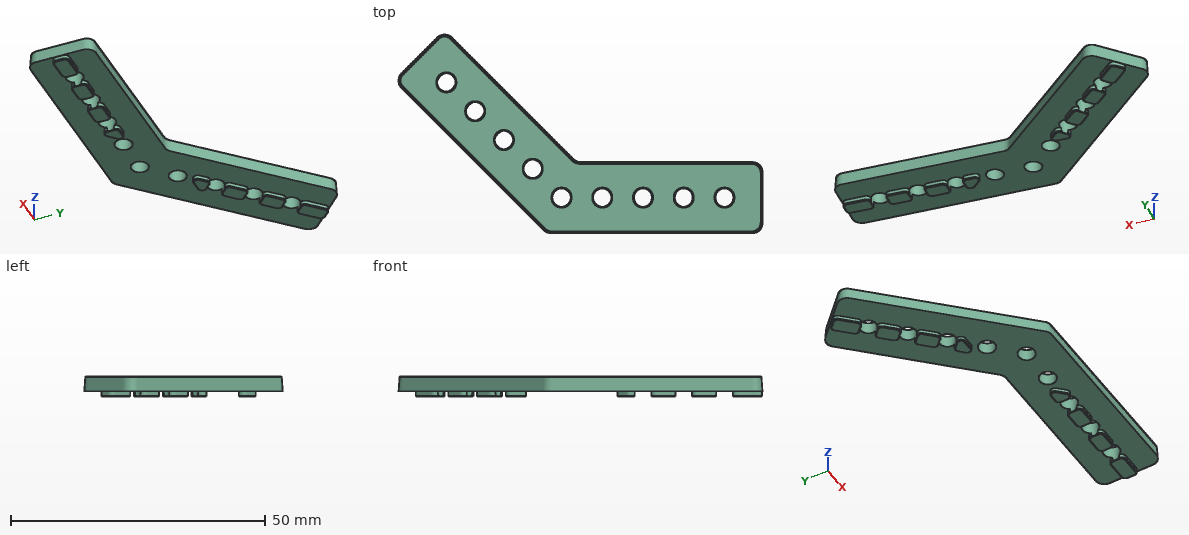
import math

import cadquery as cq

PITCH = 8.0
PITCHES_PER_ARM = 4
ARM_ANGLE = 135.0
PLATE_HALF_WIDTH = 7.0
END_OVERHANG = 7.5
PLATE_THICKNESS = 3.0
CORNER_RADIUS = 2.0
DRAFT_ANGLE = 4.0
TOP_CHAMFER = 0.2
HOLE_TOP_DIAMETER = 4.0

PAD_HEIGHT = 1.0
PAD_HALF_WIDTH = 1.7
PAD_HOLE_GAP = 1.6
PAD_CORNER_RADIUS = 0.95
PAD_CHAMFER = 0.2
PAD_END_REACH = 7.4
ELBOW_CLEARANCE = 8.0

ARM_REACH = PITCHES_PER_ARM * PITCH
ARM_DIRECTIONS = (0.0, ARM_ANGLE)


def along_arm(angle, distance, offset):
    """Point at a distance along an arm and an offset to its left."""
    a = math.radians(angle)
    x = distance * math.cos(a) - offset * math.sin(a)
    y = distance * math.sin(a) + offset * math.cos(a)
    return (x, y)


def make_plate():
    """Bent plate with drafted sides, widest at the bottom, and a chamfered top rim."""
    length = ARM_REACH + END_OVERHANG
    miter = PLATE_HALF_WIDTH / math.tan(math.radians(ARM_ANGLE / 2))
    outline = [
        along_arm(0, -miter, -PLATE_HALF_WIDTH),
        along_arm(0, length, -PLATE_HALF_WIDTH),
        along_arm(0, length, PLATE_HALF_WIDTH),
        along_arm(0, miter, PLATE_HALF_WIDTH),
        along_arm(ARM_ANGLE, length, -PLATE_HALF_WIDTH),
        along_arm(ARM_ANGLE, length, PLATE_HALF_WIDTH),
    ]
    sharp_wire = cq.Wire.makePolygon([cq.Vector(x, y) for x, y in outline], close=True)
    sketch = cq.Sketch().face(sharp_wire).vertices().fillet(CORNER_RADIUS)
    plate = cq.Workplane("XY").placeSketch(sketch).extrude(PLATE_THICKNESS, taper=DRAFT_ANGLE)
    return plate.faces(">Z").chamfer(TOP_CHAMFER)


def make_pad(outline):
    """Rounded pad hanging below the plate, with a chamfered lower rim."""
    pad = cq.Workplane("XY").polyline(outline).close().extrude(-PAD_HEIGHT)
    return pad.edges("|Z").fillet(PAD_CORNER_RADIUS).faces("<Z").chamfer(PAD_CHAMFER)


def straight_pad(start, end):
    """Rectangular pad on the centre line of the arm, between two distances from the elbow."""
    return make_pad([
        (start, -PAD_HALF_WIDTH),
        (end, -PAD_HALF_WIDTH),
        (end, PAD_HALF_WIDTH),
        (start, PAD_HALF_WIDTH),
    ])


def elbow_pad():
    """Pad nearest the elbow; its inner end runs parallel to the other arm."""
    bend = math.radians(180 - ARM_ANGLE)
    middle = ELBOW_CLEARANCE / math.sin(bend)
    slant = PAD_HALF_WIDTH / math.tan(bend)
    end = 2 * PITCH - PAD_HOLE_GAP
    return make_pad([
        (middle + slant, -PAD_HALF_WIDTH),
        (end, -PAD_HALF_WIDTH),
        (end, PAD_HALF_WIDTH),
        (middle - slant, PAD_HALF_WIDTH),
    ])


def make_arm_pads():
    """All pads of the arm lying along +X, as a list of solids."""
    pads = [elbow_pad()]
    for i in range(2, PITCHES_PER_ARM):
        pads.append(straight_pad(i * PITCH + PAD_HOLE_GAP, (i + 1) * PITCH - PAD_HOLE_GAP))
    pads.append(straight_pad(ARM_REACH + PAD_HOLE_GAP, ARM_REACH + PAD_END_REACH))
    return [pad.val() for pad in pads]


def mirror_to_second_arm(solid):
    """Mirror a solid of the +X arm about the elbow bisector."""
    return solid.mirror("XZ").rotate(cq.Vector(0, 0, 0), cq.Vector(0, 0, 1), ARM_ANGLE)


def make_holes():
    """Cutters for the through holes, which narrow downwards."""
    points = [(0, 0)]
    for angle in ARM_DIRECTIONS:
        for i in range(1, PITCHES_PER_ARM + 1):
            points.append(along_arm(angle, i * PITCH, 0))
    top = cq.Workplane("XY", origin=(0, 0, PLATE_THICKNESS)).pushPoints(points)
    return top.circle(HOLE_TOP_DIAMETER / 2).extrude(-(PLATE_THICKNESS + PAD_HEIGHT), taper=DRAFT_ANGLE)


result = make_plate()
for arm_pad in make_arm_pads():
    result = result.union(cq.Workplane(arm_pad))
    result = result.union(cq.Workplane(mirror_to_second_arm(arm_pad)))
result = result.cut(make_holes())